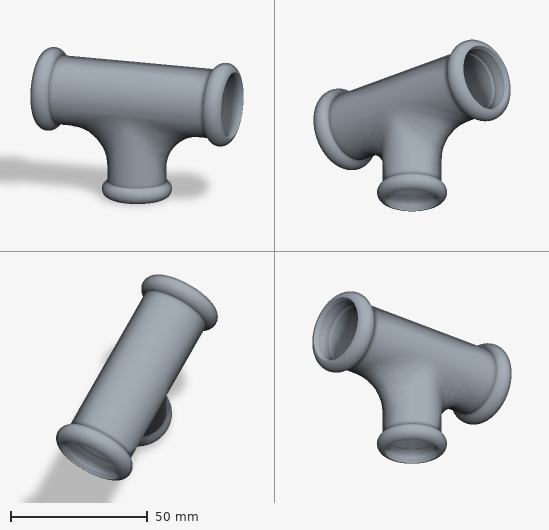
import cadquery as cq

run_length = 74.0
run_tube_diameter = 25.4
run_bead_diameter = 30.8
run_bead_width = 7.25
run_bead_height = 3.2
run_socket_diameter = 22.9
run_stop_diameter = 22.3
run_bore_diameter = 21.4

overall_height = 53.35
branch_length = overall_height - run_bead_diameter / 2
branch_tube_diameter = 21.6
branch_bead_diameter = 25.7
branch_bead_width = 6.3
branch_bead_height = 2.9
branch_socket_diameter = 18.7
branch_bore_diameter = 18.35

lead_in_depth = 1.4
land_depth = 2.15
run_socket_depth = 5.1
run_stop_depth = 6.1
run_step_depth = 6.7
branch_socket_depth = 5.4

junction_fillet = 14.8

run_end = cq.Plane(origin=(-run_length / 2, 0, 0), xDir=(0, 1, 0), normal=(1, 0, 0))
branch_end = cq.Plane(origin=(0, 0, -branch_length), xDir=(1, 0, 0), normal=(0, 0, 1))


def cylinder(plane, diameter, length):
    return cq.Workplane(plane).circle(diameter / 2).extrude(length)


def bead(plane, diameter, width, height):
    """Rounded collar at an open end, with one arc as its outer section."""
    base_radius = diameter / 2 - height
    section_plane = cq.Plane(origin=plane.origin, xDir=plane.xDir, normal=-plane.yDir)
    return (
        cq.Workplane(section_plane)
        .moveTo(0, 0)
        .lineTo(base_radius, 0)
        .threePointArc((diameter / 2, width / 2), (base_radius, width))
        .lineTo(0, width)
        .close()
        .revolve(360, (0, 0), (0, 1))
    )


def stage(plane, start_depth, start_diameter, end_depth, end_diameter):
    """Round stage between two depths, straight when both diameters are equal."""
    return (
        cq.Workplane(plane)
        .workplane(offset=start_depth)
        .circle(start_diameter / 2)
        .workplane(offset=end_depth - start_depth)
        .circle(end_diameter / 2)
        .loft(ruled=True)
    )


def lead_in(plane, bead_diameter, bead_height, socket_diameter):
    """Tapered mouth from the inner edge of the bead to the socket."""
    mouth_diameter = bead_diameter - 2 * bead_height
    return stage(plane, 0, mouth_diameter, lead_in_depth, socket_diameter)


def mirrored(end_feature):
    return end_feature.union(end_feature.mirror("YZ"))


run_tube = stage(
    run_end, run_bead_width / 2, run_tube_diameter, run_length - run_bead_width / 2, run_tube_diameter
)
branch_tube = stage(
    branch_end, branch_bead_width / 2, branch_tube_diameter, branch_length, branch_tube_diameter
)
box_margin = 0.75
junction_box = cq.selectors.BoxSelector(
    (-run_tube_diameter / 2, -run_tube_diameter / 2, -run_tube_diameter / 2 - box_margin),
    (run_tube_diameter / 2, run_tube_diameter / 2, -box_margin),
    boundingbox=True,
)
body = run_tube.union(branch_tube).edges(junction_box).fillet(junction_fillet)

body = body.union(mirrored(bead(run_end, run_bead_diameter, run_bead_width, run_bead_height)))
body = body.union(bead(branch_end, branch_bead_diameter, branch_bead_width, branch_bead_height))

run_socket = (
    lead_in(run_end, run_bead_diameter, run_bead_height, run_socket_diameter)
    .union(stage(run_end, lead_in_depth, run_socket_diameter, land_depth, run_socket_diameter))
    .union(stage(run_end, land_depth, run_socket_diameter, run_socket_depth, run_stop_diameter))
    .union(stage(run_end, run_socket_depth, run_stop_diameter, run_stop_depth, run_stop_diameter))
    .union(stage(run_end, run_stop_depth, run_stop_diameter, run_step_depth, run_bore_diameter))
)
body = body.cut(mirrored(run_socket))
body = body.cut(cylinder(run_end, run_bore_diameter, run_length))

body = body.cut(lead_in(branch_end, branch_bead_diameter, branch_bead_height, branch_socket_diameter))
body = body.cut(cylinder(branch_end, branch_socket_diameter, branch_socket_depth))
body = body.cut(cylinder(branch_end, branch_bore_diameter, branch_length))

result = body